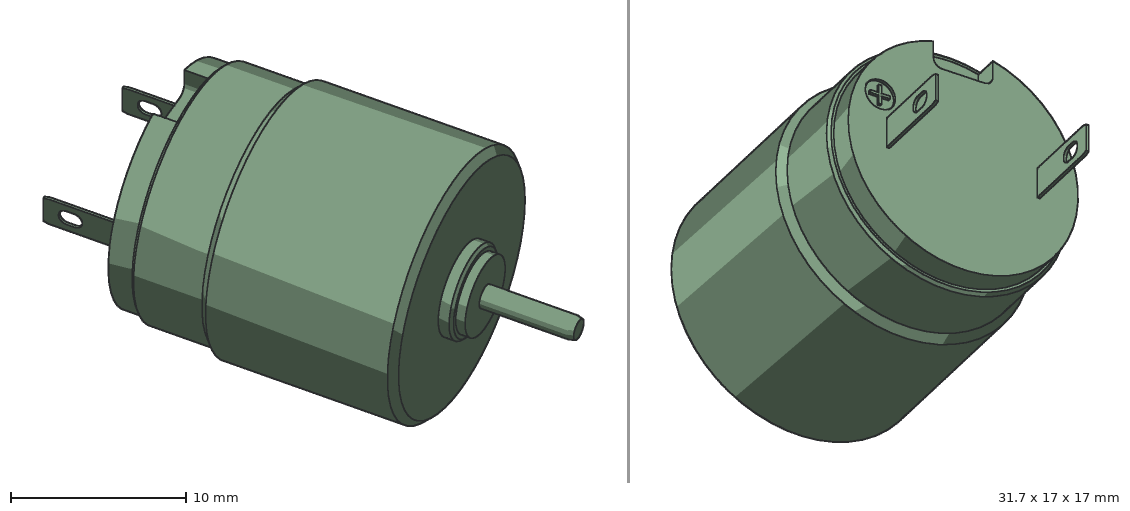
import cadquery as cq


can_length = 17.15
can_diameter = 17.0
can_chamfer = 0.48
rear_length = 4.55
rear_diameter = can_diameter - 2 * can_chamfer
rear_chamfer = 0.2

flange_length = 0.9
flange_diameter = 6.0
flange_chamfer = 0.2
boss_length = 0.6
boss_diameter = 5.07
shaft_end = 7.48
shaft_diameter = 1.5
shaft_chamfer = 0.35
shaft_tip_bevel = 0.1

cap_diameter = 15.3
cap_height = 1.62
cap_seat = 0.32
notch_width = 3.95
notch_floor_z = 5.67
notch_radius = 0.6

mark_y = 5.5
mark_z = 2.5
mark_diameter = 2.0
mark_depth = 0.2
plus_span = 1.3
plus_width = 0.2

terminal_spacing = 10.02
terminal_length = 5.45
terminal_width = 2.0
terminal_thickness = 0.2
tip_bevel_length = 0.35
tip_bevel_depth = 0.1
slot_length = 1.52
slot_width = 1.05
slot_to_tip = 1.75

can_rear_x = -can_length
cap_face_x = can_rear_x - cap_height
terminal_tip_x = cap_face_x - terminal_length


def make_housing():
    """Can, bearing and shaft turned as one solid, with a seat for the end cap."""
    can_r = can_diameter / 2
    rear_r = rear_diameter / 2
    flange_r = flange_diameter / 2
    boss_r = boss_diameter / 2
    shaft_r = shaft_diameter / 2
    shoulder_x = can_rear_x + rear_length
    boss_end_x = flange_length + boss_length
    profile = [
        (can_rear_x, 0),
        (can_rear_x, rear_r - rear_chamfer),
        (can_rear_x + rear_chamfer, rear_r),
        (shoulder_x, rear_r),
        (shoulder_x + can_chamfer, can_r),
        (-can_chamfer, can_r),
        (0, can_r - can_chamfer),
        (0, flange_r),
        (flange_length - flange_chamfer, flange_r),
        (flange_length, flange_r - flange_chamfer),
        (flange_length, boss_r),
        (boss_end_x, boss_r),
        (boss_end_x, shaft_r),
        (shaft_end - shaft_chamfer, shaft_r),
        (shaft_end, shaft_r - shaft_tip_bevel),
        (shaft_end, 0),
    ]
    turned = cq.Workplane("XY").polyline(profile).close().revolve(360, (0, 0, 0), (1, 0, 0))
    seat = cq.Workplane("YZ", origin=(can_rear_x, 0, 0)).circle(cap_diameter / 2).extrude(cap_seat)
    return turned.cut(seat)


def make_notch():
    """Cutter for the round-cornered notch at the top of the cap, down to the can's rear face."""
    notch_height = cap_diameter / 2
    return (
        cq.Workplane("XY")
        .box(cap_height, notch_width, notch_height, centered=(False, True, False))
        .edges("|X and <Z")
        .fillet(notch_radius)
        .translate((cap_face_x, 0, notch_floor_z))
    )


def make_polarity_mark():
    """Cutter for the round recess, leaving the plus standing."""
    face = cq.Workplane("YZ", origin=(cap_face_x, mark_y, mark_z))
    disc = face.circle(mark_diameter / 2).extrude(mark_depth)
    bar_across = face.rect(plus_span, plus_width).extrude(mark_depth)
    bar_up = face.rect(plus_width, plus_span).extrude(mark_depth)
    return disc.cut(bar_across).cut(bar_up)


def make_terminal(y):
    """Flat slotted terminal, centred at the given Y and rising from the cap's face."""
    half_width = terminal_width / 2
    tip_half_width = half_width - tip_bevel_depth
    bevel_x = terminal_tip_x + tip_bevel_length
    outline = [
        (cap_face_x, half_width),
        (bevel_x, half_width),
        (terminal_tip_x, tip_half_width),
        (terminal_tip_x, -tip_half_width),
        (bevel_x, -half_width),
        (cap_face_x, -half_width),
    ]
    mid_plane = cq.Workplane("XZ", origin=(0, y, 0))
    blade = mid_plane.polyline(outline).close().extrude(terminal_thickness / 2, both=True)
    slot = (
        mid_plane.center(terminal_tip_x + slot_to_tip, 0)
        .slot2D(slot_length, slot_width)
        .extrude(terminal_thickness, both=True)
    )
    return blade.cut(slot)


def make_end_cap():
    """Cap disc with its notch, polarity mark and the two terminals fixed in it."""
    cap = (
        cq.Workplane("YZ", origin=(cap_face_x, 0, 0))
        .circle(cap_diameter / 2)
        .extrude(cap_height + cap_seat)
    )
    cap = cap.cut(make_notch()).cut(make_polarity_mark())
    for side in (-1, 1):
        cap = cap.union(make_terminal(side * terminal_spacing / 2))
    return cap


housing = make_housing()
end_cap = make_end_cap()
result = cq.Compound.makeCompound([housing.val(), end_cap.val()])